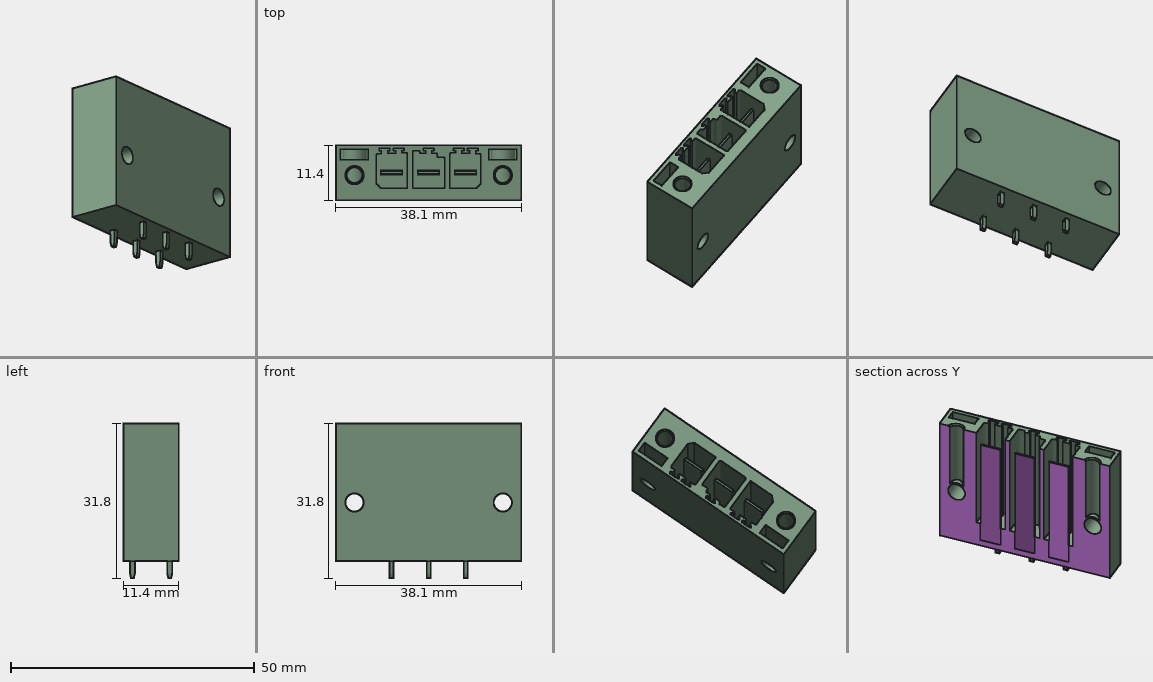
import cadquery as cq

LENGTH = 38.1
WIDTH = 11.4
HEIGHT = 28.3
OVERALL_HEIGHT = 31.8
BACK = WIDTH / 2

PITCH = 7.62
TERMINAL_Y = 0.02
BLADE_WIDTH = 4.42
BLADE_THICKNESS = 0.9
BLADE_TIP_DEPTH = 2.82
BLADE_TIP_BEVEL = 0.2
BLADE_TIP_HEIGHT = 0.6
LEG_THICKNESS = 0.88
LEG_WIDTH = 1.05
LEG_TIP_WIDTH = 0.6
LEG_TAPER_HEIGHT = 1.0
LEG_LENGTH = OVERALL_HEIGHT - HEIGHT
LEG_SPACING = 7.65
CROSSBAR_BOTTOM = 1.52
CROSSBAR_TOP = 3.05

CAVITY_FLOOR = 5.7
CAVITY_CORNER_RADIUS = 0.25
CAVITY_FRONT = -3.2
OUTER_CAVITY_OUTSIDE = 3.12
OUTER_CAVITY_INSIDE = 3.25
OUTER_CAVITY_CHAMFER = 0.95
OUTER_SHOULDER_Y = 3.9
INNER_SHOULDER_Y = 4.1
KEY_ROOT_Y = 4.0
MIDDLE_CAVITY_HALF = 3.3
MIDDLE_LEFT_STEP_X = -1.83
MIDDLE_LEFT_STEP_Y = 4.55
MIDDLE_RIGHT_STEP_X = 1.8
MIDDLE_RIGHT_STEP_Y = 3.2
MIDDLE_STEP_RADIUS = 0.23

KEY_OFFSET = 1.45
KEY_STEM_WIDTH = 1.25
KEY_HEAD_WIDTH = 2.25
KEY_HEAD_FRONT = 4.55
KEY_HEAD_BACK = 5.03
KEY_HEAD_RADIUS = 0.2

MOUNT_X = 2 * PITCH
CROSS_HOLE_DIAMETER = 3.7
CROSS_HOLE_Z = 12.05
BORE_DIAMETER = 3.2
BORE_MOUTH_DIAMETER = 3.8
BORE_Y = -0.5
NUT_SLOT_LENGTH = 5.75
NUT_SLOT_WIDTH = 2.1
NUT_SLOT_BACK_WALL = 0.9
BARREL_DIAMETER = 4.75


def box(x_min, x_max, y_min, y_max, z_min, z_max):
    """Axis-aligned box between two opposite corners."""
    size = (x_max - x_min, y_max - y_min, z_max - z_min)
    return cq.Workplane().box(*size, centered=False).translate((x_min, y_min, z_min))


def cylinder_along_y(x, diameter, back, length):
    """Cylinder at cross hole height that runs forward from its back end."""
    disc = cq.Workplane("XZ", origin=(x, back, CROSS_HOLE_Z)).circle(diameter / 2)
    return disc.extrude(length)


def keyway(x):
    """T-shaped keyway with its stem running into the cavity at x."""
    stem = box(
        x - KEY_STEM_WIDTH / 2, x + KEY_STEM_WIDTH / 2,
        OUTER_SHOULDER_Y, KEY_HEAD_BACK, CAVITY_FLOOR, HEIGHT,
    )
    head = box(
        x - KEY_HEAD_WIDTH / 2, x + KEY_HEAD_WIDTH / 2,
        KEY_HEAD_FRONT, KEY_HEAD_BACK, CAVITY_FLOOR, HEIGHT,
    )
    return stem.union(head.edges("|Z").fillet(KEY_HEAD_RADIUS))


def cavity_prism(outline):
    """Straight-walled cavity volume from the cavity floor to the top of the housing."""
    floor = cq.Workplane(origin=(0, 0, CAVITY_FLOOR)).polyline(outline).close()
    return floor.extrude(HEIGHT - CAVITY_FLOOR)


def outer_cavity():
    """Left-hand cavity about X = 0, with two keyways and a bevelled outside front corner."""
    prism = cavity_prism([
        (-OUTER_CAVITY_OUTSIDE + OUTER_CAVITY_CHAMFER, CAVITY_FRONT),
        (OUTER_CAVITY_INSIDE, CAVITY_FRONT),
        (OUTER_CAVITY_INSIDE, INNER_SHOULDER_Y),
        (KEY_OFFSET, INNER_SHOULDER_Y),
        (KEY_OFFSET, KEY_ROOT_Y),
        (-KEY_OFFSET, KEY_ROOT_Y),
        (-KEY_OFFSET, OUTER_SHOULDER_Y),
        (-OUTER_CAVITY_OUTSIDE, OUTER_SHOULDER_Y),
        (-OUTER_CAVITY_OUTSIDE, CAVITY_FRONT + OUTER_CAVITY_CHAMFER),
    ])
    for corner_side in ("<X", ">X"):
        prism = prism.faces(corner_side).edges(">Y").fillet(CAVITY_CORNER_RADIUS)
    return prism.union(keyway(-KEY_OFFSET)).union(keyway(KEY_OFFSET))


def middle_cavity():
    """Middle cavity with one keyway and a stepped, rounded back wall."""
    prism = cavity_prism([
        (-MIDDLE_CAVITY_HALF, CAVITY_FRONT),
        (MIDDLE_CAVITY_HALF, CAVITY_FRONT),
        (MIDDLE_CAVITY_HALF, MIDDLE_RIGHT_STEP_Y),
        (MIDDLE_RIGHT_STEP_X, MIDDLE_RIGHT_STEP_Y),
        (MIDDLE_RIGHT_STEP_X, KEY_ROOT_Y),
        (MIDDLE_LEFT_STEP_X, KEY_ROOT_Y),
        (MIDDLE_LEFT_STEP_X, MIDDLE_LEFT_STEP_Y),
        (-MIDDLE_CAVITY_HALF, MIDDLE_LEFT_STEP_Y),
    ])
    prism = prism.edges("|Z").edges("not(<X or >X)").fillet(MIDDLE_STEP_RADIUS)
    prism = prism.faces("<X or >X").edges("|Z").fillet(CAVITY_CORNER_RADIUS)
    return prism.union(keyway(0))


def screw_bore(x):
    """Vertical bore with a 45 degree mouth, ending on the barrel around the cross hole."""
    mouth_depth = (BORE_MOUTH_DIAMETER - BORE_DIAMETER) / 2
    profile = [
        (0, CROSS_HOLE_Z),
        (BORE_DIAMETER / 2, CROSS_HOLE_Z),
        (BORE_DIAMETER / 2, HEIGHT - mouth_depth),
        (BORE_MOUTH_DIAMETER / 2, HEIGHT),
        (0, HEIGHT),
    ]
    bore = cq.Workplane("XZ").polyline(profile).close().revolve(360, (0, 0), (0, 1))
    return bore.translate((x, BORE_Y, 0)).cut(barrel(x))


def cross_hole(x):
    """Horizontal hole through the housing from front to back."""
    return cylinder_along_y(x, CROSS_HOLE_DIAMETER, BACK, WIDTH)


def barrel(x):
    """Round wall left standing around the cross hole where a bore or slot meets it."""
    return cylinder_along_y(x, BARREL_DIAMETER, BACK, WIDTH)


def nut_slot(x):
    """Slot open at the top that straddles the barrel with two round-bottomed legs."""
    back = BACK - NUT_SLOT_BACK_WALL
    slot = box(
        x - NUT_SLOT_LENGTH / 2, x + NUT_SLOT_LENGTH / 2,
        back - NUT_SLOT_WIDTH, back, CROSS_HOLE_Z, HEIGHT,
    ).cut(barrel(x))
    leg_width = (NUT_SLOT_LENGTH - BARREL_DIAMETER) / 2
    leg_offset = (NUT_SLOT_LENGTH - leg_width) / 2
    for leg_x in (x - leg_offset, x + leg_offset):
        slot = slot.union(cylinder_along_y(leg_x, leg_width, back, NUT_SLOT_WIDTH))
    return slot


def blade():
    """Flat contact blade with a bevelled tip, rising from the crossbar."""
    top = HEIGHT - BLADE_TIP_DEPTH
    shoulder = top - BLADE_TIP_HEIGHT
    half = BLADE_THICKNESS / 2
    tip_half = half - BLADE_TIP_BEVEL
    profile = [
        (-half, CROSSBAR_BOTTOM),
        (half, CROSSBAR_BOTTOM),
        (half, shoulder),
        (tip_half, top),
        (-tip_half, top),
        (-half, shoulder),
    ]
    return cq.Workplane("YZ").polyline(profile).close().extrude(BLADE_WIDTH / 2, both=True)


def solder_leg(y):
    """Leg that runs down from the crossbar and tapers to a narrow tip."""
    half = LEG_WIDTH / 2
    tip_half = LEG_TIP_WIDTH / 2
    taper_top = LEG_TAPER_HEIGHT - LEG_LENGTH
    profile = [
        (y - half, CROSSBAR_TOP),
        (y - half, taper_top),
        (y - tip_half, -LEG_LENGTH),
        (y + tip_half, -LEG_LENGTH),
        (y + half, taper_top),
        (y + half, CROSSBAR_TOP),
    ]
    return cq.Workplane("YZ").polyline(profile).close().extrude(LEG_THICKNESS / 2, both=True)


def make_terminal(x):
    """Blade on a crossbar that carries two tapered solder legs."""
    reach = (LEG_SPACING + LEG_WIDTH) / 2
    half = LEG_THICKNESS / 2
    terminal = blade().union(box(-half, half, -reach, reach, CROSSBAR_BOTTOM, CROSSBAR_TOP))
    for leg_y in (-LEG_SPACING / 2, LEG_SPACING / 2):
        terminal = terminal.union(solder_leg(leg_y))
    return terminal.translate((x, TERMINAL_Y, 0))


def make_housing(terminals):
    """Block with cavities, mounting features and a matching recess for every terminal."""
    housing = box(-LENGTH / 2, LENGTH / 2, -BACK, BACK, 0, HEIGHT)
    left_cavity = outer_cavity()
    housing = housing.cut(left_cavity.translate((-PITCH, 0, 0)))
    housing = housing.cut(middle_cavity())
    housing = housing.cut(left_cavity.mirror("YZ").translate((PITCH, 0, 0)))
    for side in (-1, 1):
        housing = housing.cut(cross_hole(side * MOUNT_X))
        housing = housing.cut(screw_bore(side * MOUNT_X))
        housing = housing.cut(nut_slot(side * MOUNT_X))
    for terminal in terminals:
        housing = housing.cut(terminal)
    return housing


terminals = [make_terminal(x) for x in (-PITCH, 0, PITCH)]
housing = make_housing(terminals)
result = cq.Compound.makeCompound([housing.val(), *[terminal.val() for terminal in terminals]])